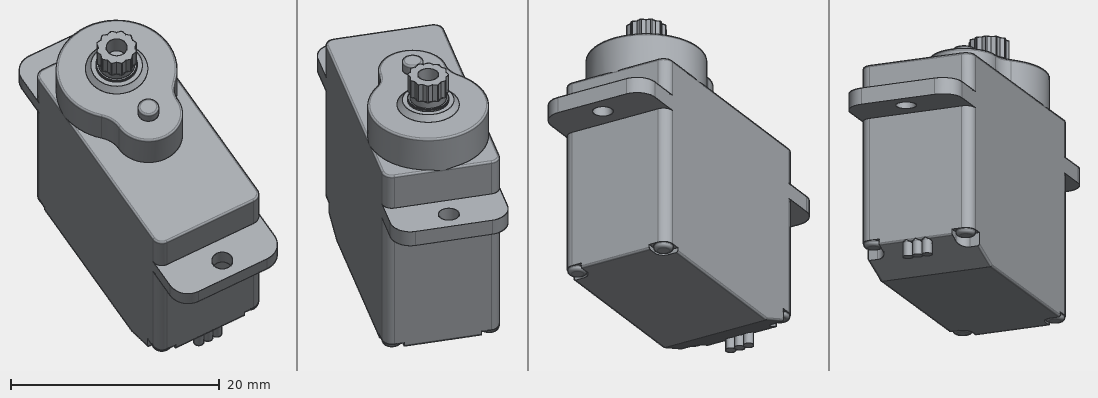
import cadquery as cq
import math


CASE_LENGTH = 23.6
CASE_WIDTH = 11.6
CASE_HEIGHT = 20.2
CORNER_RADIUS = 1.0
EDGE_FILLET = 0.2
SLANT_START_X = 6.77
SLANT_RISE = 1.95

EAR_SPAN = 32.1
EAR_BOTTOM = 14.8
EAR_THICKNESS = 1.65
EAR_CORNER_RADIUS = 2.0
EAR_HOLE_DIAMETER = 2.0
EAR_HOLE_X = 14.05

COVER_TOP = 23.8
COVER_RADIUS = CASE_WIDTH / 2
SHAFT_X = COVER_RADIUS - CASE_LENGTH / 2
LOBE_X = 0.03
LOBE_RADIUS = 3.27
PIVOT_DIAMETER = 2.0
PIVOT_TOP = 24.8
COLLAR_BASE_RADIUS = 3.0
COLLAR_TOP_RADIUS = 2.47
COLLAR_TOP = 24.33

SHAFT_TOP = 27.3
SPLINE_BOTTOM = 25.33
SPLINE_DIAMETER = 3.9
SPLINE_GROOVES = 12
GROOVE_HALF_ANGLE = math.radians(13)
NECK_DIAMETER = 3.5
FLANGE_RADIUS = 2.0
FLANGE_TOP = 24.55
FLANGE_CHAMFER = 0.05
BORE_DIAMETER = 2.0

POCKET_SIZE = 2 * CORNER_RADIUS
SCREW_DIAMETER = 1.9
SCREW_HEIGHT = 0.48
SCREW_FLAT_DIAMETER = 1.15
SCREW_FILLET = (SCREW_DIAMETER - SCREW_FLAT_DIAMETER) / 2
SCREW_X = CASE_LENGTH / 2 - CORNER_RADIUS
SCREW_Y = CASE_WIDTH / 2 - CORNER_RADIUS
FLAT_END_SEAT = 0.48
SLANTED_END_SEAT = 2.5

WIRE_DIAMETER = 1.0
WIRE_COUNT = 3
WIRE_X = (CASE_LENGTH - WIRE_DIAMETER) / 2
WIRE_BOTTOM = 0.48

SCREW_PLACES = [
    (side * SCREW_X, y, seat)
    for side, seat in ((-1, FLAT_END_SEAT), (1, SLANTED_END_SEAT))
    for y in (-SCREW_Y, SCREW_Y)
]


def cylinder(x, y, bottom, top, diameter):
    """Upright cylinder between two heights."""
    return cq.Workplane("XY", origin=(x, y, bottom)).circle(diameter / 2).extrude(top - bottom)


def case_block():
    """Case with a slanted lower corner, rounded uprights and rounded top and bottom edges."""
    end = CASE_LENGTH / 2
    block = (
        cq.Workplane("XZ", origin=(0, CASE_WIDTH / 2, 0))
        .polyline([
            (-end, 0),
            (SLANT_START_X, 0),
            (end, SLANT_RISE),
            (end, CASE_HEIGHT),
            (-end, CASE_HEIGHT),
        ])
        .close()
        .extrude(CASE_WIDTH)
    )
    block = block.edges("|Z").fillet(CORNER_RADIUS)
    block = block.faces(">Z").edges().fillet(EDGE_FILLET)
    lower_edges = cq.selectors.BoxSelector(
        (-EAR_SPAN, -CASE_WIDTH, -EDGE_FILLET),
        (EAR_SPAN, CASE_WIDTH, SLANT_RISE + EDGE_FILLET),
    )
    slant_line = cq.selectors.BoxSelector(
        (SLANT_START_X - EDGE_FILLET, -EDGE_FILLET, -EDGE_FILLET),
        (SLANT_START_X + EDGE_FILLET, EDGE_FILLET, EDGE_FILLET),
    )
    return block.edges(lower_edges - slant_line).fillet(EDGE_FILLET)


def ear_plate():
    """Flat plate that crosses the case and carries the two mounting holes."""
    return (
        cq.Workplane("XY", origin=(0, 0, EAR_BOTTOM))
        .rect(EAR_SPAN, CASE_WIDTH)
        .extrude(EAR_THICKNESS)
        .edges("|Z")
        .fillet(EAR_CORNER_RADIUS)
        .faces(">Z")
        .workplane(centerOption="CenterOfBoundBox")
        .pushPoints([(-EAR_HOLE_X, 0), (EAR_HOLE_X, 0)])
        .hole(EAR_HOLE_DIAMETER)
    )


def gear_cover():
    """Cover outline: a large circle around the shaft blended by concave arcs into a smaller lobe."""
    spacing = LOBE_X - SHAFT_X
    blend_radius = (spacing**2 + LOBE_RADIUS**2 - COVER_RADIUS**2) / (2 * (COVER_RADIUS - LOBE_RADIUS))
    blend_y = LOBE_RADIUS + blend_radius
    reach = COVER_RADIUS / (COVER_RADIUS + blend_radius)
    join_x = SHAFT_X + reach * spacing
    join_y = reach * blend_y
    start_angle = math.atan2(join_y - blend_y, join_x - LOBE_X)
    middle_angle = (start_angle - math.pi / 2) / 2
    middle_x = LOBE_X + blend_radius * math.cos(middle_angle)
    middle_y = blend_y + blend_radius * math.sin(middle_angle)
    return (
        cq.Workplane("XY", origin=(0, 0, CASE_HEIGHT - EDGE_FILLET))
        .moveTo(join_x, join_y)
        .threePointArc((SHAFT_X - COVER_RADIUS, 0), (join_x, -join_y))
        .threePointArc((middle_x, -middle_y), (LOBE_X, -LOBE_RADIUS))
        .threePointArc((LOBE_X + LOBE_RADIUS, 0), (LOBE_X, LOBE_RADIUS))
        .threePointArc((middle_x, middle_y), (join_x, join_y))
        .close()
        .extrude(COVER_TOP - CASE_HEIGHT + EDGE_FILLET)
        .faces(">Z")
        .edges()
        .fillet(EDGE_FILLET)
    )


def collar():
    """Conical boss around the output shaft."""
    return (
        cq.Workplane("XY", origin=(SHAFT_X, 0, COVER_TOP))
        .circle(COLLAR_BASE_RADIUS)
        .workplane(offset=COLLAR_TOP - COVER_TOP)
        .circle(COLLAR_TOP_RADIUS)
        .loft()
    )


def pivot():
    """Round-topped boss of the idler axle on the lobe."""
    boss = cylinder(LOBE_X, 0, COVER_TOP, PIVOT_TOP, PIVOT_DIAMETER)
    return boss.faces(">Z").edges().fillet(EDGE_FILLET)


def screw_pocket(x, y, seat):
    """Square corner notch open to both side faces, with its inner corner rounded about the screw axis."""
    notch = cq.Workplane("XY", origin=(x, y, 0)).rect(POCKET_SIZE, POCKET_SIZE).extrude(seat)
    inner_corner = cq.selectors.NearestToPointSelector((0, 0, seat / 2))
    return notch.edges(inner_corner).fillet(CORNER_RADIUS)


def housing_body():
    """Case, ears and cover in one piece, with the screw pockets cut out."""
    body = case_block().union(ear_plate()).union(gear_cover()).union(collar()).union(pivot())
    for x, y, seat in SCREW_PLACES:
        body = body.cut(screw_pocket(x, y, seat))
    return body


def output_shaft():
    """Shaft standing on the collar: flange, neck and a bored spline with V grooves."""
    flange = cylinder(SHAFT_X, 0, COLLAR_TOP, FLANGE_TOP, 2 * FLANGE_RADIUS)
    flange = flange.faces(">Z").edges().chamfer(FLANGE_CHAMFER)
    neck = cylinder(SHAFT_X, 0, FLANGE_TOP, SPLINE_BOTTOM, NECK_DIAMETER)
    spline = cylinder(SHAFT_X, 0, SPLINE_BOTTOM, SHAFT_TOP, SPLINE_DIAMETER)
    root = NECK_DIAMETER / 2
    outer = SPLINE_DIAMETER / 2
    edge_x = outer * math.cos(GROOVE_HALF_ANGLE)
    edge_y = outer * math.sin(GROOVE_HALF_ANGLE)
    groove = (
        cq.Workplane("XY", origin=(SHAFT_X, 0, SPLINE_BOTTOM))
        .polyline([(root, 0), (edge_x, -edge_y), (2 * outer, 0), (edge_x, edge_y)])
        .close()
        .extrude(SHAFT_TOP - SPLINE_BOTTOM)
    )
    for i in range(SPLINE_GROOVES):
        angle = i * 360 / SPLINE_GROOVES
        spline = spline.cut(groove.rotate((SHAFT_X, 0, 0), (SHAFT_X, 0, 1), angle))
    bore = cylinder(SHAFT_X, 0, SPLINE_BOTTOM, SHAFT_TOP, BORE_DIAMETER)
    return flange.union(neck).union(spline.cut(bore))


def cover_screw(x, y, seat):
    """Screw head seated in its pocket, with its lower rim well rounded."""
    head = cylinder(x, y, seat - SCREW_HEIGHT, seat, SCREW_DIAMETER)
    return head.faces("<Z").edges().fillet(SCREW_FILLET)


def lead_wire(y):
    """Wire hanging from the slanted face, where its upper end is cut flush."""
    uncut_wire = cylinder(WIRE_X, y, WIRE_BOTTOM, CASE_HEIGHT / 2, WIRE_DIAMETER)
    return uncut_wire.cut(case_block())


housing = housing_body()
shaft = output_shaft()
screws = [cover_screw(*place) for place in SCREW_PLACES]
first_wire_y = -(WIRE_COUNT - 1) / 2 * WIRE_DIAMETER
wires = [lead_wire(first_wire_y + i * WIRE_DIAMETER) for i in range(WIRE_COUNT)]

result = cq.Compound.makeCompound([
    housing.val(),
    shaft.val(),
    *[screw.val() for screw in screws],
    *[wire.val() for wire in wires],
])